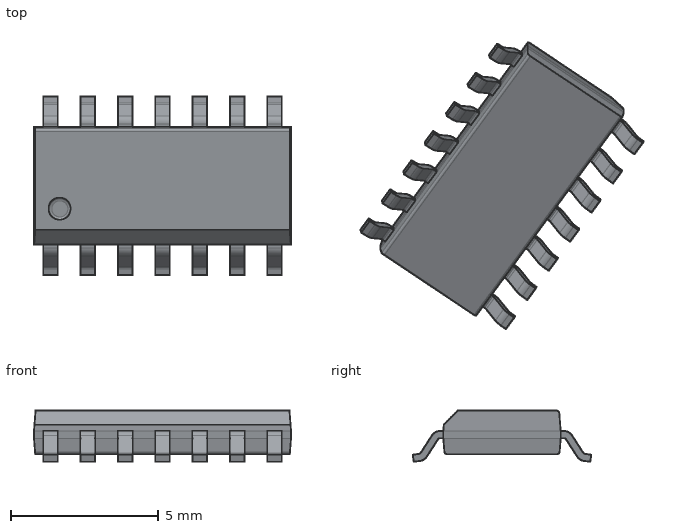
import cadquery as cq
import math

body_length = 8.75
body_width = 4.0
body_top = 1.75
body_bottom = 0.26
draft_angle = 4.5
edge_radius = 0.1
front_chamfer_drop = 0.485
front_chamfer_top_y = -1.5

mark_x = -3.5
mark_y = -0.78
mark_radius = 0.375
mark_depth = 0.1

leads_per_side = 7
lead_pitch = 1.27
lead_width = 0.5
lead_thickness = 0.25
lead_top = 1.055
lead_span = 6.08
lead_embed = 0.3
inner_bend_radius = 0.08
outer_bend_radius = inner_bend_radius + lead_thickness
slope_angle = math.radians(57.2)
foot_angle = math.radians(8.0)
foot_length = 0.222

band_top = lead_top
band_bottom = lead_top - lead_thickness


def drafted_block(base_z, height):
    """Block on the band outline, tapering inwards away from the band (negative height: downwards)."""
    return (
        cq.Workplane("XY", origin=(0, 0, base_z))
        .rect(body_length, body_width)
        .extrude(height, taper=draft_angle)
    )


def front_chamfer_cutter():
    """Prism that takes the sloping chamfer off the upper front (-Y) long edge."""
    chamfer_bottom = body_top - front_chamfer_drop
    chamfer_bottom_y = -body_width / 2 + (chamfer_bottom - band_top) * math.tan(math.radians(draft_angle))
    return (
        cq.Workplane("YZ", origin=(-body_length / 2, 0, 0))
        .polyline([
            (front_chamfer_top_y, body_top),
            (chamfer_bottom_y, chamfer_bottom),
            (-body_width, chamfer_bottom),
            (-body_width, body_top),
        ])
        .close()
        .extrude(body_length)
    )


def pin_one_mark():
    """Dish removed from the top face beside pin 1; its wall radius equals its depth."""
    floor_radius = mark_radius - mark_depth
    wall_mid_offset = mark_depth * math.sqrt(0.5)
    return (
        cq.Workplane("XZ", origin=(mark_x, mark_y, body_top))
        .lineTo(mark_radius, 0)
        .threePointArc((floor_radius + wall_mid_offset, -wall_mid_offset), (floor_radius, -mark_depth))
        .lineTo(0, -mark_depth)
        .close()
        .revolve(360, (0, 0, 0), (0, 1, 0))
    )


def make_body():
    upper = drafted_block(band_top, body_top - band_top)
    upper = upper.faces(">Z").edges(">Y").fillet(edge_radius)
    upper = upper.cut(front_chamfer_cutter()).cut(pin_one_mark())

    lower = drafted_block(band_bottom, body_bottom - band_bottom)
    lower = lower.faces("<Z").edges("|X").fillet(edge_radius)

    band = (
        cq.Workplane("XY", origin=(0, 0, band_bottom))
        .rect(body_length, body_width)
        .extrude(lead_thickness)
    )
    return band.union(upper).union(lower)


def offset_point(origin, radius, angle):
    """Point at a radius from the origin; the angle is measured from +Z towards the lead tip."""
    return (origin[0] + radius * math.sin(angle), origin[1] + radius * math.cos(angle))


def lead_profile():
    """Closed lead outline on the +Y side, in the YZ plane, with the foot's lowest corner at Z = 0."""
    tip_top = (lead_span / 2, lead_thickness * math.cos(foot_angle))
    tip_bottom = offset_point(tip_top, -lead_thickness, foot_angle)
    heel_top = (
        tip_top[0] - foot_length * math.cos(foot_angle),
        tip_top[1] + foot_length * math.sin(foot_angle),
    )
    heel_centre = offset_point(heel_top, inner_bend_radius, foot_angle)
    slope_end_top = offset_point(heel_centre, -inner_bend_radius, slope_angle)
    shoulder_centre_z = lead_top - outer_bend_radius
    slope_start_z = shoulder_centre_z + outer_bend_radius * math.cos(slope_angle)
    slope_run = (slope_start_z - slope_end_top[1]) / math.tan(slope_angle)
    slope_start_top = (slope_end_top[0] - slope_run, slope_start_z)
    shoulder_centre = offset_point(slope_start_top, -outer_bend_radius, slope_angle)

    shoulder_mid_angle = slope_angle / 2
    heel_mid_angle = (slope_angle + foot_angle) / 2
    root_y = body_width / 2 - lead_embed
    return (
        cq.Workplane("YZ")
        .moveTo(root_y, lead_top)
        .lineTo(shoulder_centre[0], lead_top)
        .threePointArc(
            offset_point(shoulder_centre, outer_bend_radius, shoulder_mid_angle),
            slope_start_top,
        )
        .lineTo(*slope_end_top)
        .threePointArc(
            offset_point(heel_centre, -inner_bend_radius, heel_mid_angle),
            heel_top,
        )
        .lineTo(*tip_top)
        .lineTo(*tip_bottom)
        .lineTo(*offset_point(heel_centre, -outer_bend_radius, foot_angle))
        .threePointArc(
            offset_point(heel_centre, -outer_bend_radius, heel_mid_angle),
            offset_point(heel_centre, -outer_bend_radius, slope_angle),
        )
        .lineTo(*offset_point(shoulder_centre, inner_bend_radius, slope_angle))
        .threePointArc(
            offset_point(shoulder_centre, inner_bend_radius, shoulder_mid_angle),
            (shoulder_centre[0], band_bottom),
        )
        .lineTo(root_y, band_bottom)
        .close()
    )


def add_leads(body):
    back_lead = lead_profile().extrude(lead_width / 2, both=True)
    front_lead = back_lead.mirror("XZ")
    for index in range(leads_per_side):
        lead_x = (index - (leads_per_side - 1) / 2) * lead_pitch
        for lead in (back_lead, front_lead):
            body = body.union(lead.translate((lead_x, 0, 0)))
    return body


result = add_leads(make_body())